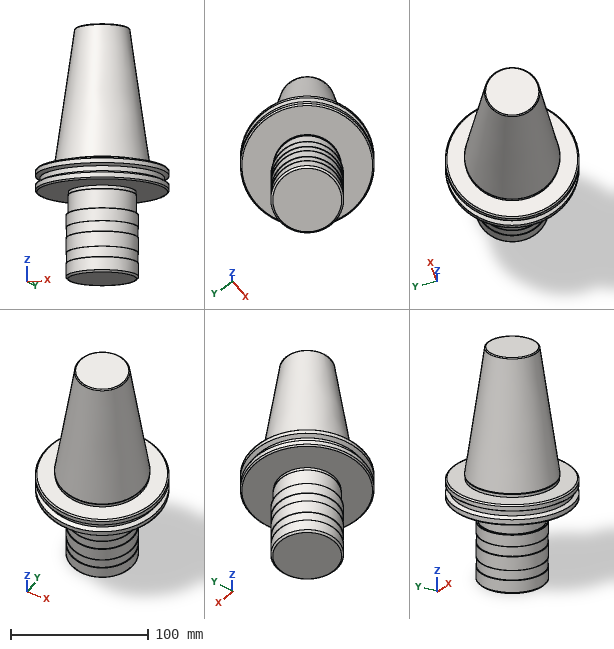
import cadquery as cq

height = 185.8
flange_bottom = 64.6
flange_top = 81.0
gauge_level = 84.1
neck_level = 62.2

gauge_radius = 35.0
taper_slope = 7 / 48
top_chamfer = 0.7
collar_radius = 34.5
collar_bevel = 1.0

flange_radius = 48.76
flange_chamfer = 1.1
groove_radius = 45.5
groove_floor_bottom = 71.1
groove_floor_top = 74.9
groove_flare = 1.7

shank_radius = 25.0
neck_radius = 24.7
sleeve_radius = 26.5
sleeve_top = 47.5
bottom_chamfer = 1.5
band_radius = 26.2
band_levels = [(11.3, 19.0), (30.3, 37.9)]
edge_chamfer = 0.4


def revolve_profile(points):
    """Revolve (radius, height) points around the vertical axis."""
    return cq.Workplane("XZ").polyline(points).close().revolve(360, (0, 0, 0), (0, 1, 0))


def make_taper():
    top_radius = gauge_radius - taper_slope * (height - gauge_level)
    shoulder_level = height - top_chamfer
    shoulder_radius = gauge_radius - taper_slope * (shoulder_level - gauge_level)
    return revolve_profile([
        (0, flange_top),
        (collar_radius, flange_top),
        (collar_radius, gauge_level - collar_bevel),
        (gauge_radius, gauge_level),
        (shoulder_radius, shoulder_level),
        (top_radius - top_chamfer, height),
        (0, height),
    ])


def make_flange():
    return revolve_profile([
        (0, flange_bottom),
        (flange_radius - flange_chamfer, flange_bottom),
        (flange_radius, flange_bottom + flange_chamfer),
        (flange_radius, groove_floor_bottom - groove_flare),
        (groove_radius, groove_floor_bottom),
        (groove_radius, groove_floor_top),
        (flange_radius, groove_floor_top + groove_flare),
        (flange_radius, flange_top - flange_chamfer),
        (flange_radius - flange_chamfer, flange_top),
        (0, flange_top),
    ])


def make_shank():
    points = [(0, 0), (sleeve_radius - bottom_chamfer, 0), (sleeve_radius, bottom_chamfer)]
    for lower, upper in band_levels:
        points += [
            (sleeve_radius, lower - edge_chamfer),
            (band_radius, lower),
            (band_radius, upper),
            (sleeve_radius, upper),
        ]
    points += [
        (sleeve_radius, sleeve_top - edge_chamfer),
        (sleeve_radius - edge_chamfer, sleeve_top),
        (shank_radius, sleeve_top),
        (shank_radius, neck_level - edge_chamfer),
        (neck_radius, neck_level),
        (neck_radius, flange_bottom),
        (0, flange_bottom),
    ]
    return revolve_profile(points)


result = make_shank().union(make_flange()).union(make_taper())